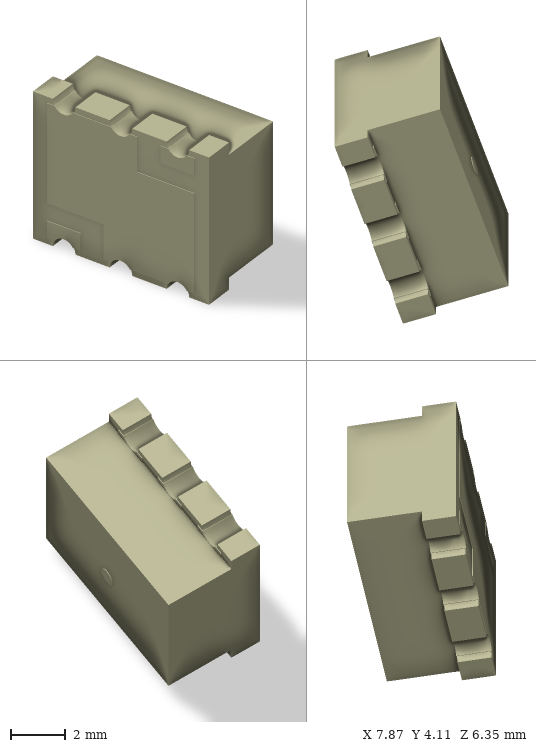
import cadquery as cq

BOARD_LENGTH = 7.87
BOARD_HEIGHT = 6.35
BOARD_THICKNESS = 1.27

COVER_HEIGHT = 5.305
COVER_DEPTH = 2.785
COVER_BACK = BOARD_THICKNESS + COVER_DEPTH

NOTCH_RADIUS = 0.5
NOTCH_PITCH = 2.54
NOTCH_POSITIONS = (-NOTCH_PITCH, 0, NOTCH_PITCH)

PAD_THICKNESS = 0.0275
PLATING_THICKNESS = 0.015
PAD_WIDTH = 1.51
PAD_HEIGHT = PAD_WIDTH / 2
PAD_EDGE_GAP = 0.26
PAD_TOP = BOARD_HEIGHT / 2 - PAD_EDGE_GAP
PAD_RIGHT = NOTCH_PITCH + PAD_WIDTH / 2
PAD_BACK = BOARD_THICKNESS + PAD_THICKNESS

GROUND_STEP_X = PAD_RIGHT - NOTCH_PITCH
GROUND_STEP_Z = PAD_TOP - 2 * PAD_HEIGHT

MARK_DIAMETER = 0.685
MARK_THICKNESS = PAD_THICKNESS
MARK_Z = -0.315


def block(length, height, front, back, x=0, z=0):
    """Rectangular block centred on (x, z) and reaching from y = front to y = back."""
    middle = (front + back) / 2
    return cq.Workplane("XY").box(length, back - front, height).translate((x, middle, z))


def notch_cylinders(radius):
    """Cylinders along Y at every notch, long enough to pass through board and pads."""
    centers = [(x, side * BOARD_HEIGHT / 2) for x in NOTCH_POSITIONS for side in (-1, 1)]
    return (
        cq.Workplane("XZ", origin=(0, -PAD_THICKNESS, 0))
        .pushPoints(centers)
        .circle(radius)
        .extrude(-(PAD_BACK + PAD_THICKNESS))
    )


def make_board():
    board = block(BOARD_LENGTH, BOARD_HEIGHT, 0, BOARD_THICKNESS)
    return board.cut(notch_cylinders(NOTCH_RADIUS))


def make_ground_pad():
    upper_outline = [
        (-PAD_RIGHT, PAD_TOP),
        (GROUND_STEP_X, PAD_TOP),
        (GROUND_STEP_X, GROUND_STEP_Z),
        (PAD_RIGHT, GROUND_STEP_Z),
    ]
    lower_outline = [(-x, -z) for x, z in upper_outline]
    return cq.Workplane("XZ").polyline(upper_outline + lower_outline).close().extrude(PAD_THICKNESS)


def make_metal():
    """Front pads, back pads and the notch plating between them."""
    metal = make_ground_pad()
    pad_z = PAD_TOP - PAD_HEIGHT / 2
    for side in (-1, 1):
        signal_pad = block(PAD_WIDTH, PAD_HEIGHT, -PAD_THICKNESS, 0, side * NOTCH_PITCH, side * pad_z)
        metal = metal.union(signal_pad)
        for x in NOTCH_POSITIONS:
            back_pad = block(PAD_WIDTH, PAD_HEIGHT, BOARD_THICKNESS, PAD_BACK, x, side * pad_z)
            metal = metal.union(back_pad)

    plated_height = block(BOARD_LENGTH, 2 * PAD_TOP, -PAD_THICKNESS, PAD_BACK)
    plating = notch_cylinders(NOTCH_RADIUS).intersect(plated_height)
    return metal.union(plating).cut(notch_cylinders(NOTCH_RADIUS - PLATING_THICKNESS))


def make_cover():
    cover = block(BOARD_LENGTH, COVER_HEIGHT, BOARD_THICKNESS, COVER_BACK)
    mark = (
        cq.Workplane("XZ", origin=(0, COVER_BACK, MARK_Z))
        .circle(MARK_DIAMETER / 2)
        .extrude(-MARK_THICKNESS)
    )
    return cover.union(mark)


result = make_board().union(make_metal()).union(make_cover())